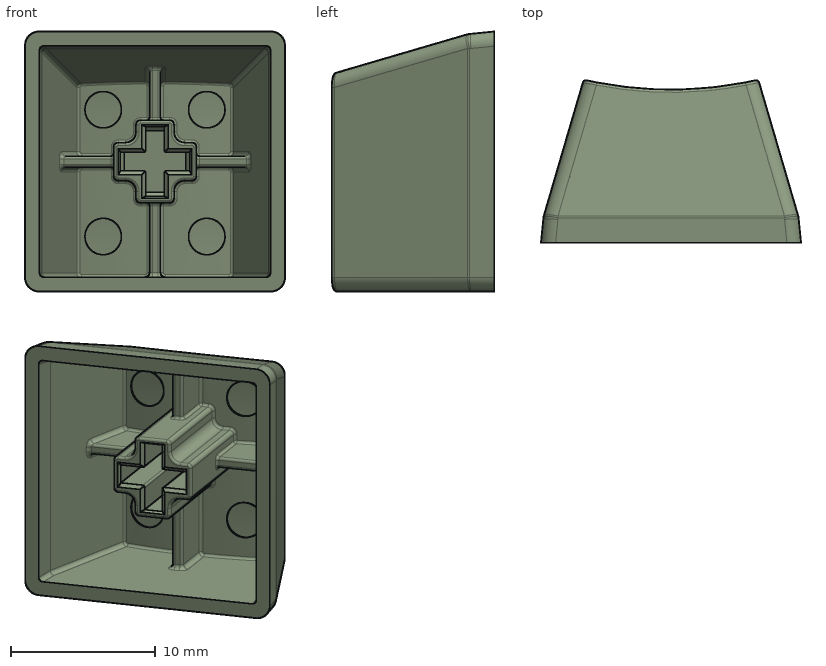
import cadquery as cq

rim_half = 9.0
skirt_height = 1.8
skirt_half = 8.82
wall_slope = 0.293
crown_height = 11.7
corner_radius = 1.0
bend_radius = 0.72
crown_edge_radius = 0.25

dish_radius = 26.64
dish_bottom = 10.6

wall = 1.0
cavity_corner_radius = 0.3
root_radius = 0.2
floor_radius = dish_radius + wall
floor_bottom = dish_bottom - wall

mark_radius = 1.26
mark_depth = 0.1
mark_x = 3.58
mark_z_high = 3.58
mark_z_low = -5.18

stem_tip = 0.99
stem_half_length = 2.86
stem_half_width = 1.31
stem_outer_radius = 0.3
stem_inner_radius = 0.74
stem_edge_radius = 0.2

socket_length = 4.8
socket_width = 1.3
socket_inner_radius = 0.15
socket_end_bevel = 0.29
mouth_length = 5.05
mouth_width = 1.8
mouth_depth = 0.25

rib_half_width = 0.38
rib_tip = 6.07
rib_edge_radius = 0.2
rib_end_radius = 0.32


def plane_at(height):
    """Workplane parallel to the rim at a height, with local axes X and Z."""
    return cq.Workplane("XZ", origin=(0, height, 0))


def post(size_x, size_z, tip):
    """Centred rectangular block from a tip height up into the crown."""
    return plane_at(tip).rect(size_x, size_z).extrude(tip - crown_height)


def region(x_low, x_high, y_low, y_high, z_low, z_high):
    """Selector for items whose centre lies inside a box."""
    return cq.selectors.BoxSelector((x_low, y_low, z_low), (x_high, y_high, z_high))


def square_region(half, y_low, y_high):
    """Selector for items inside a centred square column between two heights."""
    return region(-half, half, y_low, y_high, -half, half)


def leaning_block(inset, corner, bend=0):
    """Block with a straight -Z side and three sides that lean in above the skirt."""
    rim = rim_half - inset
    skirt = skirt_half - inset
    crown = skirt - wall_slope * (crown_height - skirt_height)
    across_x = (
        cq.Workplane("XY")
        .polyline([
            (-rim, 0), (rim, 0), (skirt, skirt_height), (crown, crown_height),
            (-crown, crown_height), (-skirt, skirt_height),
        ])
        .close()
        .extrude(rim, both=True)
    )
    across_z = (
        cq.Workplane("YZ")
        .polyline([
            (0, -rim), (0, rim), (skirt_height, skirt),
            (crown_height, crown), (crown_height, -rim),
        ])
        .close()
        .extrude(rim, both=True)
    )
    if bend:
        at_bend = square_region(2 * rim, skirt_height - 0.18, skirt_height + 0.18)
        across_x = across_x.edges(at_bend).fillet(bend)
        across_z = across_z.edges(at_bend).fillet(bend)
    block = across_x.intersect(across_z)
    between_ends = square_region(2 * rim, 0.02, crown_height - 0.02)
    return block.edges(between_ends).edges("not(|X or |Z)").fillet(corner)


def dish_cylinder(radius):
    """Long cylinder around the axis of the dished top."""
    return (
        cq.Workplane("XY")
        .center(0, dish_bottom + dish_radius)
        .circle(radius)
        .extrude(2 * rim_half, both=True)
    )


def make_outside():
    """Solid outer form with the dished top and its rounded crown edge."""
    body = leaning_block(0, corner_radius, bend_radius).cut(dish_cylinder(dish_radius))
    dish_face = body.faces(square_region(rim_half / 2, dish_bottom, crown_height))
    return dish_face.edges().fillet(crown_edge_radius)


def make_stem():
    """Cross-shaped post with rounded vertical edges and a rounded tip."""
    length = 2 * stem_half_length
    width = 2 * stem_half_width
    stem = post(length, width, stem_tip).union(post(width, length, stem_tip))
    inner = square_region(stem_half_width + 0.02, 0, crown_height)
    outer = cq.selectors.SubtractSelector(cq.selectors.ParallelDirSelector(cq.Vector(0, 1, 0)), inner)
    stem = stem.edges(outer).fillet(stem_outer_radius)
    stem = stem.edges("|Y").edges(inner).fillet(stem_inner_radius)
    return stem.faces("<Y").edges().fillet(stem_edge_radius)


def make_ribs():
    """Crossing ribs with rounded tips; they run past the cavity walls."""
    width = 2 * rib_half_width
    along_x = post(2 * rim_half, width, rib_tip).edges("|X and <Y").fillet(rib_edge_radius)
    along_z = post(width, 2 * rim_half, rib_tip).edges("|Z and <Y").fillet(rib_edge_radius)
    return along_x.union(along_z)


def rib_end_edges(hollow, near, far):
    """Edges at the ends of the four ribs, between two distances from the centre."""
    side = rib_half_width + 0.02
    low = rib_tip - 0.02
    edges = []
    for start, end in ((near, far), (-far, -near)):
        edges += hollow.edges(region(start, end, low, floor_bottom, -side, side)).vals()
        edges += hollow.edges(region(-side, side, low, floor_bottom, start, end)).vals()
    return edges


def make_hollow():
    """Empty space inside the cap: the cavity less the stem and ribs, with rounded joints."""
    hollow = leaning_block(wall, cavity_corner_radius).cut(dish_cylinder(floor_radius))
    hollow = hollow.cut(make_stem()).cut(make_ribs())
    rib_ends = rib_end_edges(hollow, 2 * stem_half_length, rim_half)
    hollow = hollow.newObject(rib_ends).fillet(rib_end_radius)
    floor = hollow.faces(square_region(rim_half, floor_bottom, crown_height))
    joints = floor.edges().vals()
    joints += rib_end_edges(hollow, stem_half_length - 0.02, stem_half_length + 0.02)
    return hollow.newObject(joints).fillet(root_radius)


def make_marks():
    """Shallow round recesses that follow the curved floor."""
    centres = [(x, z) for x in (-mark_x, mark_x) for z in (mark_z_low, mark_z_high)]
    pins = plane_at(rib_tip).pushPoints(centres).circle(mark_radius).extrude(rib_tip - crown_height)
    return pins.cut(dish_cylinder(floor_radius - mark_depth))


def mouth_flare(tip_x, tip_z, deep_x, deep_z):
    """Tapered mouth of one socket arm pair, from the stem tip inward."""
    return (
        plane_at(stem_tip)
        .rect(tip_x, tip_z)
        .workplane(offset=-mouth_depth)
        .rect(deep_x, deep_z)
        .loft(ruled=True)
    )


def make_socket():
    """Cross-shaped socket down to the cavity floor level, with a flared mouth."""
    depth = floor_bottom - stem_tip
    start = plane_at(stem_tip)
    across = start.rect(socket_length, socket_width).extrude(-depth)
    across = across.edges("|Z and >Y").chamfer(socket_end_bevel)
    upright = start.rect(socket_width, socket_length).extrude(-depth)
    upright = upright.edges("|X and >Y").chamfer(socket_end_bevel)
    inner = square_region(socket_width / 2 + 0.02, 0, crown_height)
    socket = across.union(upright).edges("|Y").edges(inner).fillet(socket_inner_radius)
    socket = socket.union(mouth_flare(mouth_length, mouth_width, socket_length, socket_width))
    return socket.union(mouth_flare(mouth_width, mouth_length, socket_width, socket_length))


result = make_outside().cut(make_hollow()).cut(make_marks()).cut(make_socket())